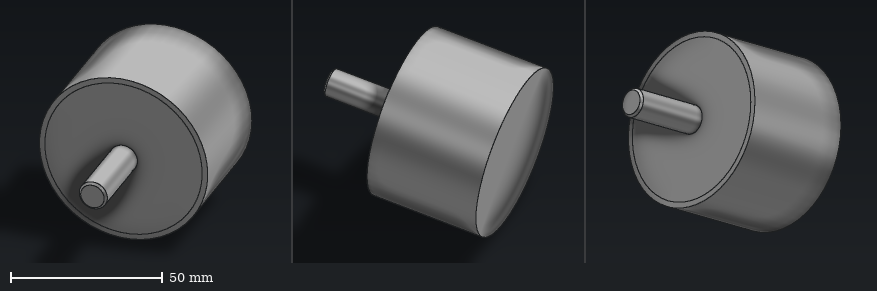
import cadquery as cq

total_length = 68.0
rubber_diameter = 60.0
rubber_length = 40.0
rim_width = 2.0
plate_thickness = rim_width
stud_diameter = 10.0
stud_chamfer = 0.8

stud_length = total_length - rubber_length
plate_diameter = rubber_diameter - 2 * rim_width


def cylinder_along_y(diameter, start_y, end_y):
    """Cylinder centred on the Y axis between two Y positions."""
    return (
        cq.Workplane("XZ", origin=(0, end_y, 0))
        .circle(diameter / 2)
        .extrude(end_y - start_y)
    )


def make_rubber_body():
    """Rubber cylinder with a recess for the plate in its -Y face."""
    block = cylinder_along_y(rubber_diameter, 0, rubber_length)
    recess = cylinder_along_y(plate_diameter, 0, plate_thickness)
    return block.cut(recess)


def make_stud_plate():
    """Round plate flush with the rubber face, in one piece with its chamfered stud."""
    plate = cylinder_along_y(plate_diameter, 0, plate_thickness)
    stud = cylinder_along_y(stud_diameter, -stud_length, plate_thickness)
    stud = stud.faces("<Y").chamfer(stud_chamfer)
    return plate.union(stud)


rubber_body = make_rubber_body()
stud_plate = make_stud_plate()

result = cq.Compound.makeCompound([rubber_body.val(), stud_plate.val()])